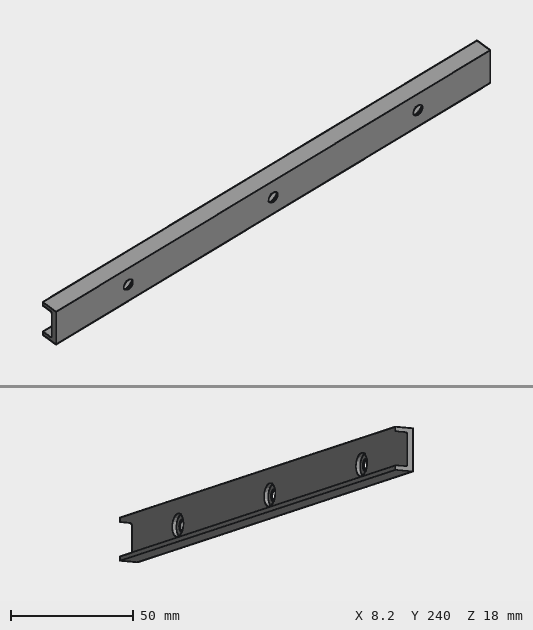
import cadquery as cq

length = 240.0
width = 8.2
height = 18.0
web_thickness = 2.6
flange_thickness = 2.0
corner_radius = 1.0
lip_radius = 0.2

hole_count = 3
hole_pitch = length / hole_count
hole_diameter = 5.0
bore_diameter = 9.5
bore_depth = 2.0

web_face_x = width / 2 - web_thickness
cavity_half_height = height / 2 - flange_thickness


def make_channel():
    """C-shaped bar with rounded inner corners and rounded inner flange lips."""
    bar = cq.Workplane("XY").box(width, length, height)
    cavity = (
        cq.Workplane("XY")
        .box(width - web_thickness, length, 2 * cavity_half_height)
        .translate((-web_thickness / 2, 0, 0))
        .edges("|Y and >X")
        .fillet(corner_radius)
    )
    channel = bar.cut(cavity)
    mouth_face = channel.faces("<X")
    lip_edges = mouth_face.edges("|Y").edges(
        cq.selectors.BoxSelector(
            (-width, -length, -cavity_half_height - lip_radius),
            (width, length, cavity_half_height + lip_radius),
        )
    )
    return lip_edges.fillet(lip_radius)


def drill_mounting_holes(channel):
    """Row of holes centred on the web, counterbored from the open side."""
    first_y = -hole_pitch * (hole_count - 1) / 2
    centres = [(first_y + i * hole_pitch, 0) for i in range(hole_count)]
    web_face = cq.Workplane("YZ", origin=(web_face_x, 0, 0)).pushPoints(centres)
    holes = web_face.circle(hole_diameter / 2).extrude(web_thickness)
    bores = web_face.circle(bore_diameter / 2).extrude(bore_depth)
    return channel.cut(holes).cut(bores)


result = drill_mounting_holes(make_channel())